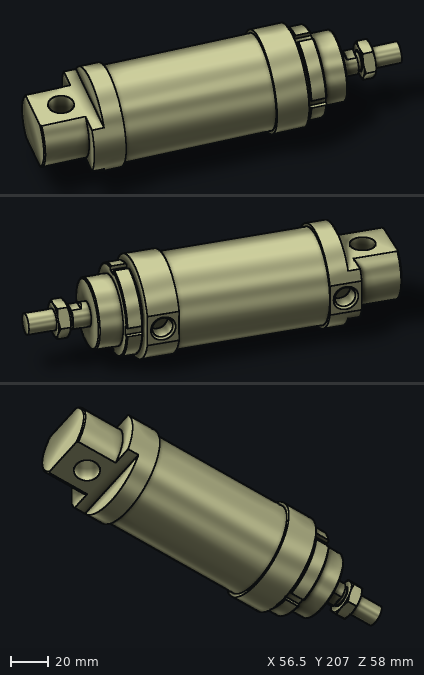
import cadquery as cq
import math

total_length = 207.0

cap_diameter = 58.0
cap_length = 18.0
port_flat_offset = 27.5
rear_cap_start = 25.5
front_cap_end = 147.0
tube_diameter = 54.0

boss_diameter = 40.0
boss_end = 172.0
boss_chamfer = 0.72
clevis_thickness = 30.0
clevis_flat_length = 32.3
clevis_hole_diameter = 14.0
clevis_hole_position = 16.0

port_diameter = 11.5
port_mouth_diameter = 14.0
port_chamfer = (port_mouth_diameter - port_diameter) / 2
port_depth = 10.4

ring_diameter = 51.8
ring_start = 148.8
ring_length = 9.3
ring_chamfer = 0.6
ring_slot_width = 5.2
ring_slot_depth = 2.5
ring_slot_count = 4

rod_diameter = 14.0
rod_shoulder = 182.2
neck_diameter = 10.1
thread_diameter = 12.0
wrench_width = 12.0
wrench_flat_length = 5.4
wrench_cut_margin = 2.0

nut_start = 184.5
nut_thickness = 6.8
nut_width = 19.0
nut_corner_diameter = nut_width / math.cos(math.radians(30))
nut_chamfer_reach = (nut_corner_diameter - nut_width) / 2
nut_chamfer_height = 0.6


def axial_cylinder(diameter, start, end):
    """Cylinder along the Y axis between two positions."""
    plane = cq.Workplane("XZ", origin=(0, start, 0))
    return plane.circle(diameter / 2).extrude(start - end)


def port_cutter(position):
    """Blind bore with a countersunk mouth, entering from the flat on the -X side."""
    mouth = cq.Workplane("YZ", origin=(-port_flat_offset, position, 0))
    bore = mouth.circle(port_diameter / 2).extrude(port_depth)
    countersink = cq.Workplane(
        cq.Solid.makeCone(
            port_mouth_diameter / 2,
            port_diameter / 2,
            port_chamfer,
            cq.Vector(-port_flat_offset, position, 0),
            cq.Vector(1, 0, 0),
        )
    )
    return bore.union(countersink)


def end_cap(start):
    """Round cap with a flat for the air port on its -X side."""
    cap = axial_cylinder(cap_diameter, start, start + cap_length)
    keep = cq.Workplane("XY").box(cap_diameter, cap_length, cap_diameter)
    keep = keep.translate((cap_diameter / 2 - port_flat_offset, start + cap_length / 2, 0))
    return cap.intersect(keep)


def clevis_side_cutter(side):
    """Block that leaves a flat on the upper (side = 1) or lower (side = -1) face of the clevis."""
    block = cq.Workplane("XY").box(cap_diameter, clevis_flat_length, cap_diameter)
    height = side * (clevis_thickness + cap_diameter) / 2
    return block.translate((0, clevis_flat_length / 2, height))


def make_housing():
    """Tube with both end caps, front boss and rear clevis; bored for the rod."""
    front_cap_start = front_cap_end - cap_length
    housing = axial_cylinder(tube_diameter, rear_cap_start, front_cap_end)
    clevis = axial_cylinder(boss_diameter, 0, rear_cap_start)
    boss = axial_cylinder(boss_diameter, front_cap_start, boss_end)
    housing = housing.union(clevis.faces("<Y").chamfer(boss_chamfer))
    housing = housing.union(boss.faces(">Y").chamfer(boss_chamfer))
    for start in (rear_cap_start, front_cap_start):
        housing = housing.union(end_cap(start))
    for start in (rear_cap_start, front_cap_start):
        housing = housing.cut(port_cutter(start + cap_length / 2))
    for side in (1, -1):
        housing = housing.cut(clevis_side_cutter(side))
    cross_hole = cq.Workplane("XY").center(0, clevis_hole_position).circle(clevis_hole_diameter / 2)
    housing = housing.cut(cross_hole.extrude(clevis_thickness, both=True))
    return housing.cut(axial_cylinder(rod_diameter, front_cap_start, boss_end))


def wrench_flat_cutter(side):
    """Wedge for one wrench flat, with a 45 degree run-out toward the boss."""
    flat = wrench_width / 2
    outside = rod_diameter / 2 + wrench_cut_margin
    flat_start = rod_shoulder - wrench_flat_length
    profile = [
        (rod_shoulder, side * flat),
        (flat_start, side * flat),
        (flat_start - (outside - flat), side * outside),
        (rod_shoulder, side * outside),
    ]
    return cq.Workplane("YZ").polyline(profile).close().extrude(rod_diameter, both=True)


def make_rod():
    """Rod with two wrench flats, an undercut neck and a plain threaded end."""
    rod = axial_cylinder(rod_diameter, front_cap_end - cap_length, rod_shoulder)
    for side in (1, -1):
        rod = rod.cut(wrench_flat_cutter(side))
    rod = rod.union(axial_cylinder(neck_diameter, rod_shoulder, nut_start))
    return rod.union(axial_cylinder(thread_diameter, nut_start, total_length))


def make_mounting_ring():
    """Slotted ring nut around the front boss."""
    ring = axial_cylinder(ring_diameter, ring_start, ring_start + ring_length)
    ring = ring.faces("<Y or >Y").chamfer(ring_chamfer)
    ring = ring.cut(axial_cylinder(boss_diameter, ring_start, ring_start + ring_length))
    slot = cq.Workplane("XY").box(ring_slot_width, ring_length, 2 * ring_slot_depth)
    slot = slot.translate((0, ring_start + ring_length / 2, ring_diameter / 2))
    for index in range(ring_slot_count):
        angle = index * 360 / ring_slot_count
        ring = ring.cut(slot.rotate((0, 0, 0), (0, 1, 0), angle))
    return ring


def make_lock_nut():
    """Hexagonal nut with flats facing +Z and -Z and both ends chamfered."""
    nut_end = nut_start + nut_thickness
    base = cq.Workplane("XZ", origin=(0, nut_start, 0))
    nut = base.polygon(6, nut_corner_diameter).extrude(-nut_thickness)
    envelope = axial_cylinder(nut_corner_diameter, nut_start, nut_end)
    envelope = envelope.faces("<Y or >Y").chamfer(nut_chamfer_height, nut_chamfer_reach)
    nut = nut.intersect(envelope)
    return nut.cut(axial_cylinder(thread_diameter, nut_start, nut_end))


housing = make_housing()
rod = make_rod()
mounting_ring = make_mounting_ring()
lock_nut = make_lock_nut()

result = cq.Compound.makeCompound(
    [housing.val(), rod.val(), mounting_ring.val(), lock_nut.val()]
)